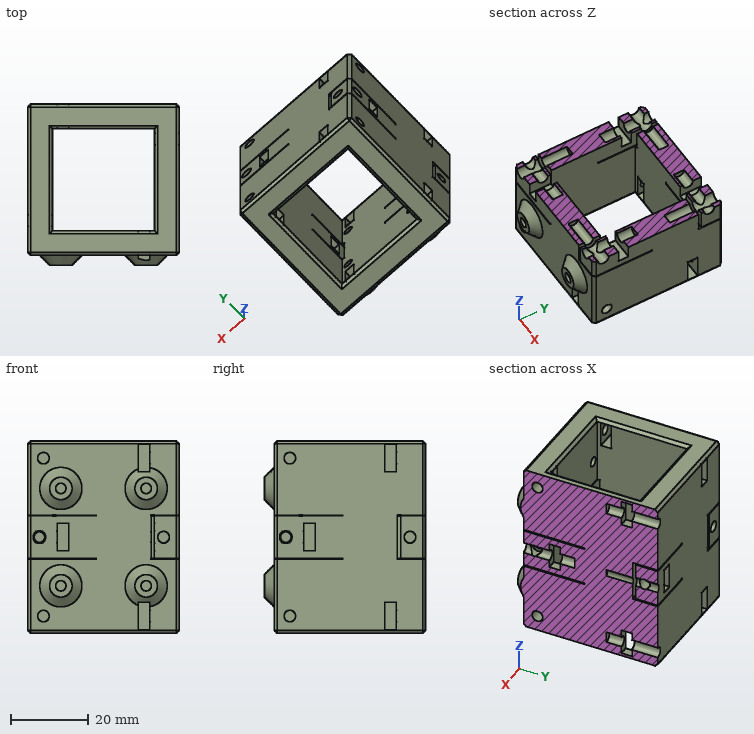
import cadquery as cq

width = 39.35
height = 50.0
bore_width = 26.4
outer_chamfer = 0.8
bore_chamfer = 0.85
side = width / 2
bore_side = bore_width / 2
wall = side - bore_side

flap_half_height = 5.6
slit = 0.2
flap_root = 1.85
flap_gap = 0.85
gap_end = -bore_side + flap_gap

slot_width = 3.0
slot_height = 7.15
slot_inset = 10.55
screw_diameter = 3.0
screw_inset = 15.6
screw_depth = 15.0
end_screw_height = 20.5

clamp_inset = 16.65
clearance_diameter = 3.25
tapping_diameter = 2.75
clamp_screw_depth = 15.0

boss_spacing_x = 22.15
boss_spacing_z = 25.3
boss_base_diameter = 10.95
boss_tip_diameter = 5.85
boss_height = 2.55
boss_hole_diameter = 2.7


def box(x_range, y_range, z_range):
    """Box spanning the given (low, high) ranges."""
    lows, highs = zip(x_range, y_range, z_range)
    sizes = [high - low for low, high in zip(lows, highs)]
    return cq.Workplane("XY").box(*sizes, centered=False).translate(lows)


def bore_from_front(x, z, diameter, start, depth):
    """Cylinder along +Y that begins at y = start."""
    cylinder = cq.Solid.makeCylinder(diameter / 2, depth, cq.Vector(x, start, z), cq.Vector(0, 1, 0))
    return cq.Workplane(obj=cylinder)


def sleeve():
    body = cq.Workplane("XY").box(width, width, height).edges().chamfer(outer_chamfer)
    bore = cq.Workplane("XY").rect(bore_width, bore_width).extrude(height / 2, both=True)
    mouth = (
        cq.Workplane("XY", origin=(0, 0, height / 2 - bore_chamfer))
        .rect(bore_width, bore_width)
        .workplane(offset=bore_chamfer)
        .rect(bore_width + 2 * bore_chamfer, bore_width + 2 * bore_chamfer)
        .loft(ruled=True)
    )
    return body.cut(bore).cut(mouth).cut(mouth.mirror("XY"))


def bosses():
    cone = cq.Solid.makeCone(
        boss_base_diameter / 2,
        boss_tip_diameter / 2,
        boss_height,
        cq.Vector(0, -side, 0),
        cq.Vector(0, -1, 0),
    )
    return boss_grid().eachpoint(lambda place: cone.moved(place), combine=False)


def boss_holes():
    hole = bore_from_front(0, 0, boss_hole_diameter, -side - boss_height, boss_height + wall).val()
    return boss_grid().eachpoint(lambda place: hole.moved(place), combine=False)


def boss_grid():
    offsets = [(x * boss_spacing_x / 2, 0, z * boss_spacing_z / 2) for x in (-1, 1) for z in (-1, 1)]
    return cq.Workplane("XY").pushPoints(offsets)


def flap_cuts():
    """Slits and end gap of the flap that lies in the -Y wall and wraps onto the -X wall."""
    cuts = box((-side, -bore_side), (-bore_side, gap_end), (-flap_half_height, flap_half_height))
    for z in (-flap_half_height, flap_half_height):
        slit_range = (z - slit / 2, z + slit / 2)
        cuts = cuts.union(box((-side, -flap_root), (-side, -bore_side), slit_range))
        cuts = cuts.union(box((-side, -bore_side), (-bore_side, gap_end), slit_range))
    return cuts


def nut_slot(x, z):
    """Slot through the -Y wall."""
    x_range = (x - slot_width / 2, x + slot_width / 2)
    z_range = (z - slot_height / 2, z + slot_height / 2)
    return box(x_range, (-side - boss_height, -bore_side), z_range)


def wall_cuts():
    """Everything cut from the -Y side; the other walls repeat it."""
    cuts = [
        flap_cuts(),
        nut_slot(-slot_inset, 0),
        bore_from_front(screw_inset, 0, screw_diameter, -side, screw_depth),
        bore_from_front(-clamp_inset, 0, clearance_diameter, -side, gap_end + side),
        bore_from_front(-clamp_inset, 0, tapping_diameter, -side, clamp_screw_depth),
    ]
    for z in (-end_screw_height, end_screw_height):
        cuts.append(nut_slot(slot_inset, z))
        cuts.append(bore_from_front(-screw_inset, z, screw_diameter, -side, screw_depth))
    return cuts


result = sleeve().union(bosses()).cut(boss_holes())
for quarter_turn in range(4):
    for cut in wall_cuts():
        result = result.cut(cut.rotate((0, 0, 0), (0, 0, 1), 90 * quarter_turn))